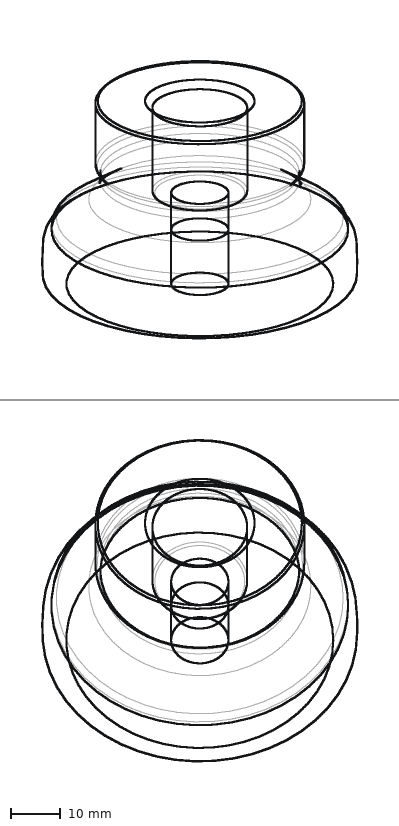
import cadquery as cq
import math

total_height = 39.89
split_height = 11.85

through_radius = 11.5 / 2
bore_radius = 19.06 / 2
bore_depth = 20.0
bore_floor_fillet = 0.5
bore_mouth_radius = 22.0 / 2

collar_radius = 42.0 / 2
collar_chamfer = 0.5
collar_bottom = 26.4
collar_edge_radius = 1.0

neck_radius = 40.0 / 2
neck_top = 24.3
neck_bottom = 22.7
neck_fillet = 5.0
skirt_slope = math.radians(32.5)
rim_round = 2.0
rim_draft = math.radians(5)
rim_bottom_radius = 29.8
rim_wall_height = 1.0

pad_radius = 63.33 / 2
pad_widest_height = 4.5
pad_underside_radius = 26.8
pad_lower_points = [(29.0, 0.59), (30.85, 1.25), (31.5, 1.85), (31.62, 2.5)]
pad_upper_points = [(31.57, 8.0), (31.36, 9.9), (30.8, 11.05)]


def make_housing():
    """Revolved collar, neck and skirt with a stepped centre bore."""
    undercut_step = collar_radius - neck_radius
    undercut_height = collar_bottom - neck_top
    undercut_turn = 2 * math.atan2(undercut_step, undercut_height)
    edge_end = (
        collar_radius - collar_edge_radius * (1 - math.cos(undercut_turn)),
        collar_bottom - collar_edge_radius * math.sin(undercut_turn),
    )

    cone_turn = math.pi / 2 - skirt_slope
    cone_top = (
        neck_radius + neck_fillet * (1 - math.cos(cone_turn)),
        neck_bottom - neck_fillet * math.sin(cone_turn),
    )
    rim_top = (
        rim_bottom_radius - rim_wall_height * math.tan(rim_draft),
        split_height + rim_wall_height,
    )
    cone_end_radius = rim_top[0] - rim_round * (math.cos(rim_draft) - math.cos(cone_turn))
    cone_end_height = cone_top[1] - (cone_end_radius - cone_top[0]) * math.tan(skirt_slope)

    mouth_depth = bore_mouth_radius - bore_radius
    bore_floor = total_height - bore_depth
    fillet_tangent = (bore_radius, bore_floor + bore_floor_fillet)

    profile = (
        cq.Workplane("XZ")
        .moveTo(bore_mouth_radius, total_height)
        .lineTo(collar_radius - collar_chamfer, total_height)
        .lineTo(collar_radius, total_height - collar_chamfer)
        .lineTo(collar_radius, collar_bottom)
        .tangentArcPoint(edge_end, relative=False)
        .tangentArcPoint((neck_radius, neck_top), relative=False)
        .lineTo(neck_radius, neck_bottom)
        .tangentArcPoint(cone_top, relative=False)
        .lineTo(cone_end_radius, cone_end_height)
        .tangentArcPoint(rim_top, relative=False)
        .lineTo(rim_bottom_radius, split_height)
        .lineTo(through_radius, split_height)
        .lineTo(through_radius, bore_floor)
        .lineTo(bore_radius - bore_floor_fillet, bore_floor)
        .radiusArc(fillet_tangent, -bore_floor_fillet)
        .lineTo(bore_radius, total_height - mouth_depth)
        .close()
    )
    return profile.revolve(360, (0, 0), (0, 1))


def make_pad():
    """Revolved foot pad whose side is one smooth curve from the underside to the rim."""
    side_points = [
        *pad_lower_points,
        (pad_radius, pad_widest_height),
        *pad_upper_points,
        (rim_bottom_radius, split_height),
    ]
    profile = (
        cq.Workplane("XZ")
        .moveTo(through_radius, 0)
        .lineTo(pad_underside_radius, 0)
        .spline(side_points, includeCurrent=True)
        .lineTo(through_radius, split_height)
        .close()
    )
    return profile.revolve(360, (0, 0), (0, 1))


housing = make_housing()
pad = make_pad()
result = cq.Compound.makeCompound([housing.val(), pad.val()])